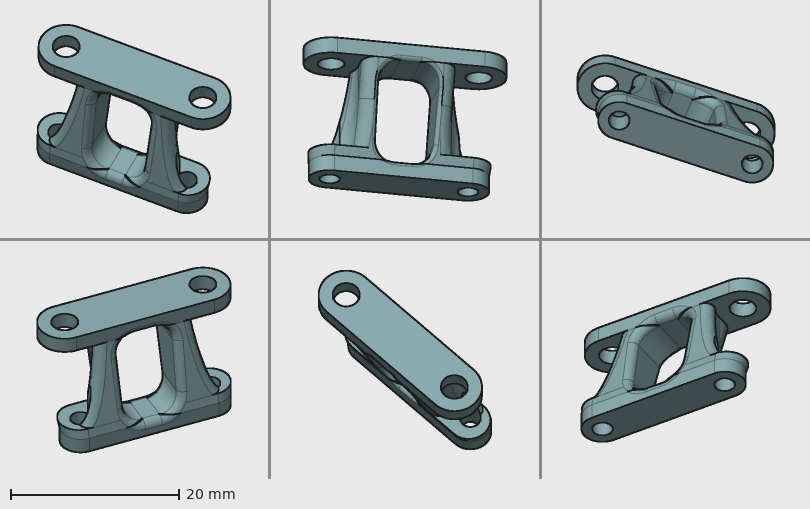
import cadquery as cq
import math

LENGTH = 24.6
HEIGHT = 15.5
PLATE_THICKNESS = 2.0
TOP_RADIUS = 3.3
TOP_HOLE_DIAMETER = 3.2
BASE_LENGTH = 21.9
BASE_RADIUS = 2.5
BASE_HOLE_DIAMETER = 2.45
DEPTH = 9.1

FLARE_TOP = 3.2
FRONT_EDGE_RADIUS = 1.2
REAR_EDGE_RADIUS = 1.7
SECTION_COUNT = 9

WINDOW_TOP_HALF_WIDTH = 3.76
WINDOW_BASE_HALF_WIDTH = 3.5
WINDOW_CORNER_RADIUS = 2.45
WINDOW_FRONT_RIM_RADIUS = 0.98
WINDOW_REAR_RIM_RADIUS = 0.5

TOP_HOLE_X = LENGTH / 2 - TOP_RADIUS
BASE_HOLE_X = BASE_LENGTH / 2 - BASE_RADIUS
BASE_Y = TOP_RADIUS + BASE_RADIUS - DEPTH
WEB_BOTTOM = PLATE_THICKNESS
WEB_TOP = HEIGHT - PLATE_THICKNESS


def lean(z, base_value, top_value):
    """Value at height z on a straight run from the base plate to the top plate."""
    return base_value + (top_value - base_value) * (z - WEB_BOTTOM) / (WEB_TOP - WEB_BOTTOM)


def slot(z, length, radius, y):
    return cq.Workplane("XY", origin=(0, y, z)).slot2D(length, 2 * radius)


def front_y(z):
    return lean(z, BASE_Y - BASE_RADIUS, -TOP_RADIUS)


def rear_y(z):
    return lean(z, BASE_Y + BASE_RADIUS, TOP_RADIUS)


def web_section(z):
    """Outline at height z: flat front, rounded front corners, hollow sides, square rear."""
    center_y = front_y(z) + FRONT_EDGE_RADIUS
    reach = TOP_RADIUS + FRONT_EDGE_RADIUS
    center_x = TOP_HOLE_X - math.sqrt(reach**2 - center_y**2)
    join_angle = math.atan2(center_y, center_x - TOP_HOLE_X) % (2 * math.pi)
    round_mid_angle = (join_angle - math.pi - math.pi / 2) / 2
    hollow_mid_angle = (join_angle + math.pi) / 2

    def on_rounding(angle):
        return (center_x + FRONT_EDGE_RADIUS * math.cos(angle), center_y + FRONT_EDGE_RADIUS * math.sin(angle))

    def on_hollow(angle):
        return (TOP_HOLE_X + TOP_RADIUS * math.cos(angle), TOP_RADIUS * math.sin(angle))

    def mirrored(point):
        return (-point[0], point[1])

    round_mid = on_rounding(round_mid_angle)
    hollow_start = on_hollow(join_angle)
    hollow_mid = on_hollow(hollow_mid_angle)
    hollow_end = (TOP_HOLE_X - TOP_RADIUS, 0)
    rear_corner = (TOP_HOLE_X - TOP_RADIUS, DEPTH)

    outline = cq.Workplane("XY", origin=(0, 0, z)).moveTo(-center_x, front_y(z)).lineTo(center_x, front_y(z))
    outline = outline.threePointArc(round_mid, hollow_start).threePointArc(hollow_mid, hollow_end)
    outline = outline.lineTo(*rear_corner).lineTo(*mirrored(rear_corner)).lineTo(*mirrored(hollow_end))
    outline = outline.threePointArc(mirrored(hollow_mid), mirrored(hollow_start))
    return outline.threePointArc(mirrored(round_mid), (-center_x, front_y(z))).close().wire().val()


def web():
    step = (WEB_TOP - FLARE_TOP) / (SECTION_COUNT - 1)
    wires = [web_section(FLARE_TOP + i * step) for i in range(SECTION_COUNT)]
    square_web = cq.Workplane(cq.Solid.makeLoft(wires))
    lean_profile = [(-DEPTH, 0), (rear_y(0), 0), (rear_y(HEIGHT), HEIGHT), (-DEPTH, HEIGHT)]
    lean_block = cq.Workplane("YZ").polyline(lean_profile).close().extrude(LENGTH / 2, both=True)
    square_web = square_web.intersect(lean_block)
    rear_edges = square_web.faces(">Y").edges("not |X")
    return square_web.newObject(rear_edges.vals()).fillet(REAR_EDGE_RADIUS)


def flare():
    share = lean(FLARE_TOP, 0, 1)
    radius = lean(FLARE_TOP, BASE_RADIUS, TOP_RADIUS)
    length = lean(FLARE_TOP, BASE_LENGTH, LENGTH)
    lower = slot(WEB_BOTTOM, BASE_LENGTH, BASE_RADIUS, BASE_Y).wire().val()
    upper = slot(FLARE_TOP, length, radius, BASE_Y * (1 - share)).wire().val()
    return cq.Workplane(cq.Solid.makeLoft([lower, upper], True))


def window():
    profile = [
        (-WINDOW_BASE_HALF_WIDTH, WEB_BOTTOM),
        (WINDOW_BASE_HALF_WIDTH, WEB_BOTTOM),
        (WINDOW_TOP_HALF_WIDTH, WEB_TOP),
        (-WINDOW_TOP_HALF_WIDTH, WEB_TOP),
    ]
    block = cq.Workplane("XZ").polyline(profile).close().extrude(DEPTH, both=True)
    return block.edges("|Y").fillet(WINDOW_CORNER_RADIUS)


def window_rim(side_profile, z_low, z_high):
    """Rounded-mouth window through a block with the given (y, z) profile, kept between two heights."""
    block = cq.Workplane("YZ").polyline(side_profile).close().extrude(LENGTH / 2, both=True)
    frame = block.cut(window())
    mouth = cq.selectors.BoxSelector((-BASE_HOLE_X, -DEPTH, 0.25), (BASE_HOLE_X, DEPTH, HEIGHT - 0.25))
    for face, radius in (("<Y", WINDOW_FRONT_RIM_RADIUS), (">Y", WINDOW_REAR_RIM_RADIUS)):
        rim = frame.faces(face).edges(mouth)
        frame = frame.newObject(rim.vals()).fillet(radius)
    band = cq.Workplane("XY", origin=(0, 0, z_low)).rect(LENGTH, 2 * DEPTH).extrude(z_high - z_low)
    return block.cut(frame).intersect(band)


def holes(x, y, z, height, diameter):
    return cq.Workplane("XY", origin=(0, y, z)).pushPoints([(-x, 0), (x, 0)]).circle(diameter / 2).extrude(height)


base_plate = slot(0, BASE_LENGTH, BASE_RADIUS, BASE_Y).extrude(PLATE_THICKNESS)
top_plate = slot(WEB_TOP, LENGTH, TOP_RADIUS, 0).extrude(PLATE_THICKNESS)
body = base_plate.union(flare())
body = body.union(web())
body = body.union(top_plate)

base_front = front_y(WEB_BOTTOM)
base_rear = rear_y(WEB_BOTTOM)
base_faces = [(base_front, 0), (base_front, HEIGHT), (base_rear, HEIGHT), (base_rear, 0)]
web_faces = [(front_y(0), 0), (front_y(HEIGHT), HEIGHT), (rear_y(HEIGHT), HEIGHT), (rear_y(0), 0)]
top_faces = [(-TOP_RADIUS, 0), (-TOP_RADIUS, HEIGHT), (TOP_RADIUS, HEIGHT), (TOP_RADIUS, 0)]
body = body.cut(window())
body = body.cut(window_rim(base_faces, 0, WEB_BOTTOM))
body = body.cut(window_rim(web_faces, WEB_BOTTOM, WEB_TOP))
body = body.cut(window_rim(top_faces, WEB_TOP, HEIGHT))
body = body.cut(holes(TOP_HOLE_X, 0, WEB_TOP, PLATE_THICKNESS, TOP_HOLE_DIAMETER))
result = body.cut(holes(BASE_HOLE_X, BASE_Y, 0, WEB_TOP, BASE_HOLE_DIAMETER))